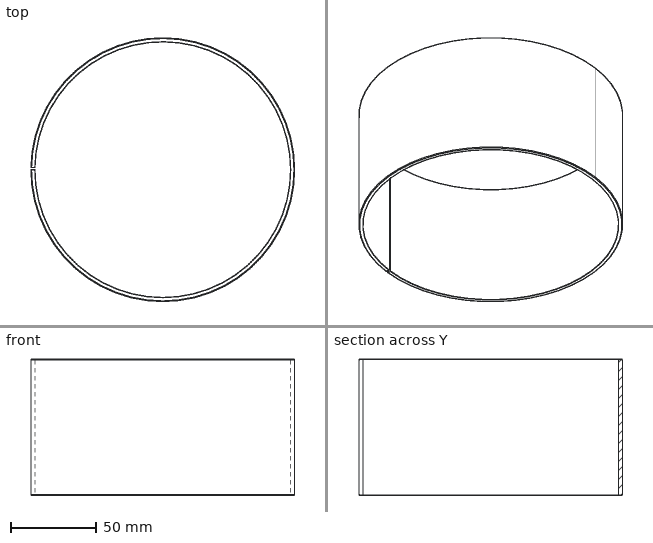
import cadquery as cq

outer_diameter = 155.0
wall_thickness = 2.5
height = 80.0
outer_chamfer = 0.5
inner_chamfer = 0.2
slit_width = 1.2

outer_radius = outer_diameter / 2
inner_radius = outer_radius - wall_thickness


def ring():
    """Tube with chamfered rim edges, the inner ones smaller than the outer ones."""
    tube = cq.Workplane("XY").circle(outer_radius).circle(inner_radius).extrude(height)
    inner_edges = cq.selectors.RadiusNthSelector(0)
    outer_edges = cq.selectors.RadiusNthSelector(-1)
    tube = tube.faces("|Z").edges(outer_edges).chamfer(outer_chamfer)
    return tube.faces("|Z").edges(inner_edges).chamfer(inner_chamfer)


def slit():
    """Full-height cutter through the -X side of the wall, with one face on the XZ plane."""
    return (
        cq.Workplane("XY")
        .box(outer_radius, slit_width, height, centered=False)
        .translate((-outer_radius, 0, 0))
    )


result = ring().cut(slit())